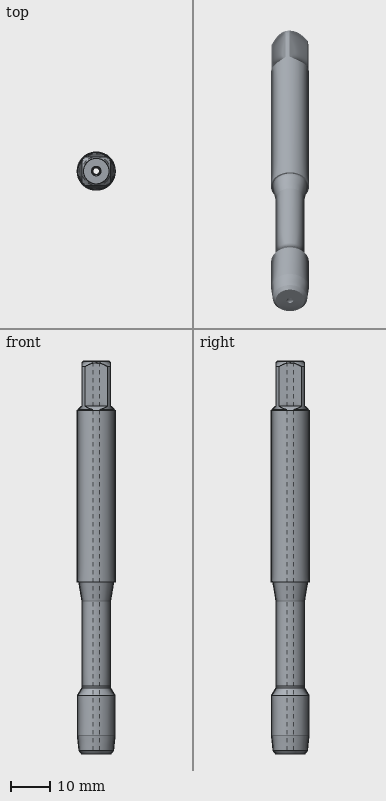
import cadquery as cq
import math

total_length = 100.0
bore_diameter = 1.7
countersink_diameter = 2.4
countersink_angle = 60

head_diameter = 9.6
tip_diameter = 7.3
lead_diameter = 8.8
tip_chamfer_top = 0.9
lead_top = 4.7
head_cylinder_top = 14.9
head_cone_top = 16.8
head_top = 17.3

neck_diameter = 7.3
neck_top = 39.0
taper_top_diameter = 8.9
shank_diameter = 9.7
shank_bottom = 43.8
shank_top = 87.5

square_side = 7.3
square_corner_diameter = 9.3
square_end_diameter = 6.5
flat_bottom = 88.6

neck_radius = neck_diameter / 2
shank_radius = shank_diameter / 2
corner_radius = square_corner_diameter / 2
end_radius = square_end_diameter / 2


def revolve_profile(points):
    """Revolve a closed (radius, height) outline about the Z axis."""
    return cq.Workplane("XZ").polyline(points).close().revolve(360, (0, 0, 0), (0, 1, 0))


def cut_bore(body):
    """Cut the coolant bore along the whole axis."""
    bore = cq.Workplane("XY").circle(bore_diameter / 2).extrude(total_length)
    return body.cut(bore)


def make_flat_cutter():
    """Material beside the +X flat, bounded below by the 45 degree run-out."""
    half_side = square_side / 2
    clear_radius = shank_diameter
    run_out_bottom = flat_bottom - (clear_radius - half_side)
    return (
        cq.Workplane("XZ")
        .polyline([
            (half_side, total_length),
            (half_side, flat_bottom),
            (clear_radius, run_out_bottom),
            (clear_radius, total_length),
        ])
        .close()
        .extrude(shank_diameter, both=True)
    )


def make_countersink():
    """Cone at the upper mouth of the bore."""
    mouth_radius = countersink_diameter / 2
    cone_depth = mouth_radius / math.tan(math.radians(countersink_angle / 2))
    return revolve_profile([
        (0, total_length),
        (mouth_radius, total_length),
        (0, total_length - cone_depth),
    ])


def make_cutting_head():
    """Tapered lead, cylinder and back cone, ending in a short collar at the neck."""
    head = revolve_profile([
        (0, 0),
        (tip_diameter / 2, 0),
        (lead_diameter / 2, tip_chamfer_top),
        (head_diameter / 2, lead_top),
        (head_diameter / 2, head_cylinder_top),
        (neck_radius, head_cone_top),
        (neck_radius, head_top),
        (0, head_top),
    ])
    return cut_bore(head)


def make_shank():
    """Neck, taper and shank with a four-sided drive, all on one axis."""
    shoulder_height = shank_radius - corner_radius
    end_chamfer = corner_radius - end_radius
    shank = revolve_profile([
        (0, head_top),
        (neck_radius, head_top),
        (neck_radius, neck_top),
        (taper_top_diameter / 2, shank_bottom),
        (shank_radius, shank_bottom),
        (shank_radius, shank_top),
        (corner_radius, shank_top + shoulder_height),
        (corner_radius, total_length - end_chamfer),
        (end_radius, total_length),
        (0, total_length),
    ])
    flat_cutter = make_flat_cutter()
    for angle in (0, 90, 180, 270):
        shank = shank.cut(flat_cutter.rotate((0, 0, 0), (0, 0, 1), angle))
    return cut_bore(shank).cut(make_countersink())


cutting_head = make_cutting_head()
shank = make_shank()

result = cq.Compound.makeCompound([cutting_head.val(), shank.val()])